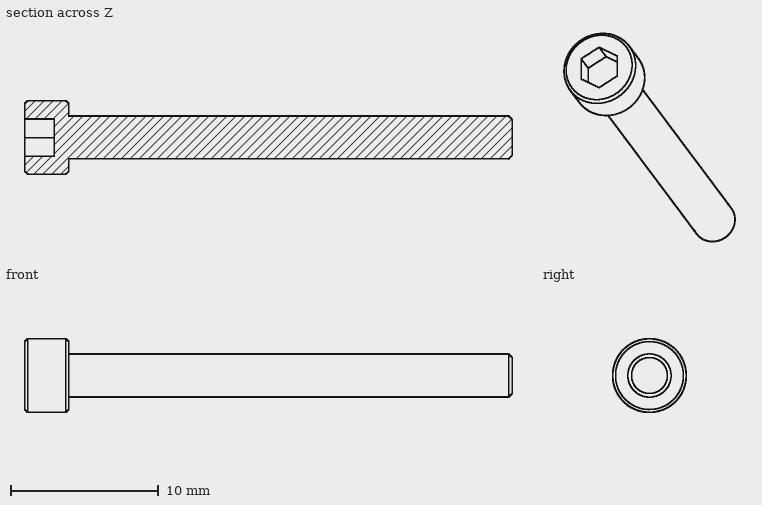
import cadquery as cq
import math

head_diameter = 5.0
head_length = 3.0
head_chamfer = 0.2
shank_diameter = 2.93
shank_length = 30.0
shank_tip_chamfer = 0.25
hex_across_flats = 2.5
hex_depth = 2.0

hex_side_count = 6
hex_across_corners = hex_across_flats / math.cos(math.pi / hex_side_count)


def head_end_plane():
    """Workplane on the free end of the head, facing +X."""
    return cq.Workplane("YZ").workplane(offset=-head_length)


def make_head():
    """Cylindrical head with both rims chamfered."""
    head = head_end_plane().circle(head_diameter / 2).extrude(head_length)
    return head.faces("<X or >X").edges().chamfer(head_chamfer)


def make_shank():
    """Plain cylindrical shank with a chamfered tip."""
    shank = cq.Workplane("YZ").circle(shank_diameter / 2).extrude(shank_length)
    return shank.faces(">X").edges().chamfer(shank_tip_chamfer)


def make_hex_socket():
    """Hexagonal socket volume with two corners along Z and two flats facing +Y and -Y."""
    turn_corners_to_z = (0, 0, 90)
    return (
        head_end_plane()
        .transformed(rotate=turn_corners_to_z)
        .polygon(hex_side_count, hex_across_corners)
        .extrude(hex_depth)
    )


result = make_head().union(make_shank()).cut(make_hex_socket())